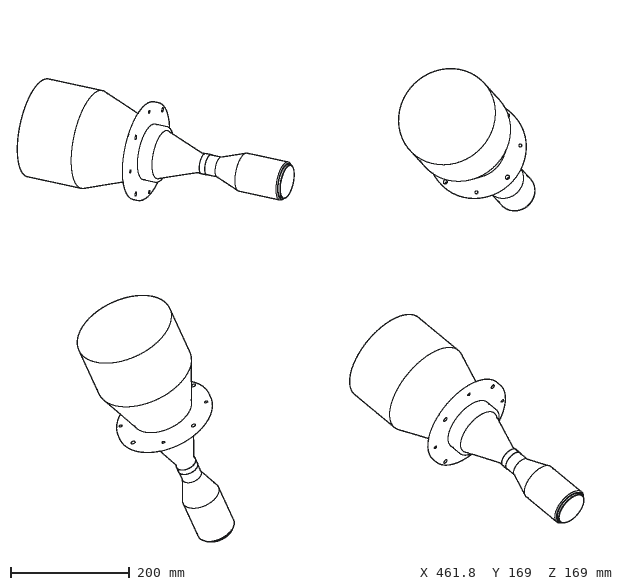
import cadquery as cq
import math

front_barrel_end = 100.0
front_cone_end = 188.7
flange_front = 194.0
flange_thickness = 12.0
flange_back = flange_front + flange_thickness
hub_length = 24.0
hub_end = flange_back + hub_length
rear_cone_end = 298.65
waist_band_start = 306.5
waist_band_end = 316.7
waist_end = 335.8
rear_barrel_start = 379.8
total_length = 461.8
spigot_length = 4.0
rear_barrel_end = total_length - spigot_length

front_barrel_diameter = 169.0
neck_diameter = 105.0
flange_diameter = 169.0
hub_diameter = 96.0
rear_cone_large_diameter = 83.0
waist_diameter = 34.5
waist_band_diameter = 35.5
rear_barrel_diameter = 66.0
spigot_diameter = 58.0

neck_fillet = 4.0
waist_fillet = 5.0
edge_radius = 2.0
rear_barrel_chamfer = 2.0
spigot_chamfer = 0.7

hole_circle_diameter = 153.0
hole_count = 4
bolt_hole_diameter = 7.0
bolt_hole_start_angle = 45.0
pin_hole_diameter = 5.0
pin_hole_start_angle = 0.0


def make_body():
    """Revolve the half outline around the X axis."""
    front_barrel_radius = front_barrel_diameter / 2
    neck_radius = neck_diameter / 2
    flange_radius = flange_diameter / 2
    hub_radius = hub_diameter / 2
    rear_cone_large_radius = rear_cone_large_diameter / 2
    waist_radius = waist_diameter / 2
    waist_band_radius = waist_band_diameter / 2
    rear_barrel_radius = rear_barrel_diameter / 2
    spigot_radius = spigot_diameter / 2

    cone_angle = math.atan2(rear_cone_large_radius - waist_radius, rear_cone_end - hub_end)
    waist_tangent = waist_fillet * math.tan(cone_angle / 2)

    outline = (
        cq.Workplane("XZ")
        .moveTo(0, 0)
        .lineTo(0, front_barrel_radius)
        .lineTo(front_barrel_end, front_barrel_radius)
        .lineTo(front_cone_end, neck_radius)
        .lineTo(flange_front - neck_fillet, neck_radius)
        .radiusArc((flange_front, neck_radius + neck_fillet), -neck_fillet)
        .lineTo(flange_front, flange_radius - edge_radius)
        .radiusArc((flange_front + edge_radius, flange_radius), edge_radius)
        .lineTo(flange_back - edge_radius, flange_radius)
        .radiusArc((flange_back, flange_radius - edge_radius), edge_radius)
        .lineTo(flange_back, hub_radius)
        .lineTo(hub_end - edge_radius, hub_radius)
        .radiusArc((hub_end, hub_radius - edge_radius), edge_radius)
        .lineTo(hub_end, rear_cone_large_radius)
        .lineTo(
            rear_cone_end - waist_tangent * math.cos(cone_angle),
            waist_radius + waist_tangent * math.sin(cone_angle),
        )
        .radiusArc((rear_cone_end + waist_tangent, waist_radius), -waist_fillet)
        .lineTo(waist_band_start, waist_radius)
        .lineTo(waist_band_start, waist_band_radius)
        .lineTo(waist_band_end, waist_band_radius)
        .lineTo(waist_band_end, waist_radius)
        .lineTo(waist_end, waist_radius)
        .lineTo(rear_barrel_start, rear_barrel_radius)
        .lineTo(rear_barrel_end - rear_barrel_chamfer, rear_barrel_radius)
        .lineTo(rear_barrel_end, rear_barrel_radius - rear_barrel_chamfer)
        .lineTo(rear_barrel_end, spigot_radius)
        .lineTo(total_length - spigot_chamfer, spigot_radius)
        .lineTo(total_length, spigot_radius - spigot_chamfer)
        .lineTo(total_length, 0)
        .close()
    )
    return outline.revolve(360, (0, 0, 0), (1, 0, 0))


def flange_holes(diameter, start_angle):
    """Ring of equally spaced cylinders passing through the flange along X."""
    return (
        cq.Workplane("YZ", origin=(flange_front, 0, 0))
        .polarArray(hole_circle_diameter / 2, start_angle, 360, hole_count)
        .circle(diameter / 2)
        .extrude(flange_thickness)
    )


bolt_holes = flange_holes(bolt_hole_diameter, bolt_hole_start_angle)
pin_holes = flange_holes(pin_hole_diameter, pin_hole_start_angle)
result = make_body().cut(bolt_holes).cut(pin_holes)